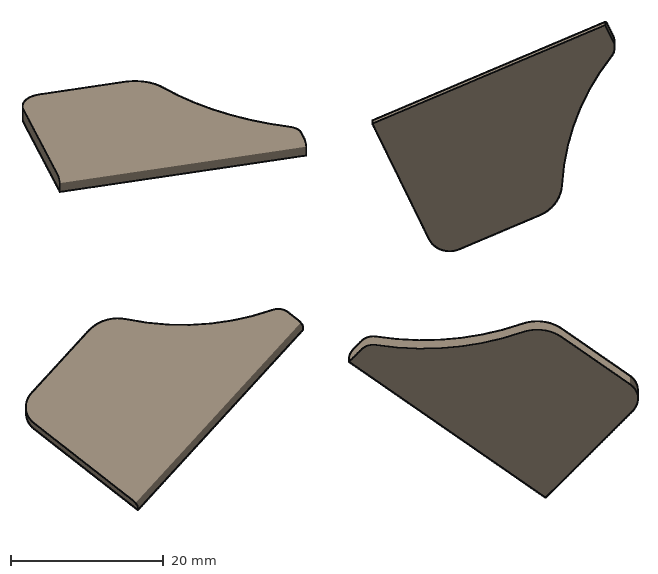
import cadquery as cq
import math

width = 20.85
length = 33.5
thickness = 2.0

front_corner_radius = 3.0
shoulder_radius = 5.02
tip_radius = 2.0
edge_round_radius = 1.0

sweep_radius = 33.5
sweep_center = (-12.75, 48.78)


def tangent_point(round_center):
    """Point where a corner round touches the concave sweep."""
    dx = round_center[0] - sweep_center[0]
    dy = round_center[1] - sweep_center[1]
    scale = sweep_radius / math.hypot(dx, dy)
    return (sweep_center[0] + dx * scale, sweep_center[1] + dy * scale)


def arc_middle(center, radius, start, end):
    """Middle of the short arc from start to end."""
    dx = start[0] + end[0] - 2 * center[0]
    dy = start[1] + end[1] - 2 * center[1]
    scale = radius / math.hypot(dx, dy)
    return (center[0] + dx * scale, center[1] + dy * scale)


shoulder_reach = sweep_radius + shoulder_radius
shoulder_dx = shoulder_radius - sweep_center[0]
shoulder_y = sweep_center[1] - math.sqrt(shoulder_reach**2 - shoulder_dx**2)
shoulder_center = (shoulder_radius, shoulder_y)
shoulder_start = (0, shoulder_y)
shoulder_end = tangent_point(shoulder_center)

tip_reach = sweep_radius + tip_radius
tip_dy = length - tip_radius - sweep_center[1]
tip_x = sweep_center[0] + math.sqrt(tip_reach**2 - tip_dy**2)
tip_center = (tip_x, length - tip_radius)
tip_start = tangent_point(tip_center)
tip_end = (tip_x, length)

corner_center = (front_corner_radius, front_corner_radius)
corner_start = (front_corner_radius, 0)
corner_end = (0, front_corner_radius)

plate = (
    cq.Workplane("XY")
    .moveTo(width, 0)
    .lineTo(*corner_start)
    .threePointArc(arc_middle(corner_center, front_corner_radius, corner_start, corner_end), corner_end)
    .lineTo(*shoulder_start)
    .threePointArc(arc_middle(shoulder_center, shoulder_radius, shoulder_start, shoulder_end), shoulder_end)
    .threePointArc(arc_middle(sweep_center, sweep_radius, shoulder_end, tip_start), tip_start)
    .threePointArc(arc_middle(tip_center, tip_radius, tip_start, tip_end), tip_end)
    .lineTo(width, length)
    .close()
    .extrude(thickness)
)

result = plate.faces(">X").edges(">Z").fillet(edge_round_radius)